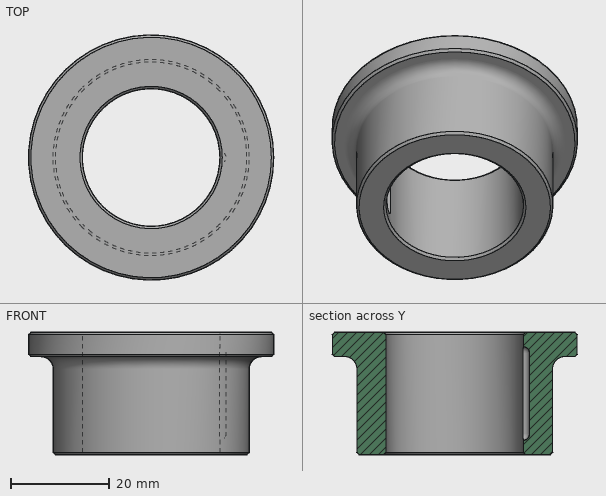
import cadquery as cq

flange_diameter = 50.0
body_diameter = 40.0
bore_diameter = 28.0
height = 25.0
flange_thickness = 5.0

edge_chamfer = 0.5
neck_fillet = 2.5

groove_radius = 1.25
groove_end_margin = 3.0

flange_radius = flange_diameter / 2
body_radius = body_diameter / 2
bore_radius = bore_diameter / 2
flange_underside = height - flange_thickness


def make_bushing():
    """Revolve the half section, with chamfered rims and a concave neck fillet."""
    section = (
        cq.Workplane("XZ")
        .moveTo(bore_radius, edge_chamfer)
        .lineTo(bore_radius + edge_chamfer, 0)
        .lineTo(body_radius - edge_chamfer, 0)
        .lineTo(body_radius, edge_chamfer)
        .lineTo(body_radius, flange_underside - neck_fillet)
        .radiusArc((body_radius + neck_fillet, flange_underside), neck_fillet)
        .lineTo(flange_radius - edge_chamfer, flange_underside)
        .lineTo(flange_radius, flange_underside + edge_chamfer)
        .lineTo(flange_radius, height - edge_chamfer)
        .lineTo(flange_radius - edge_chamfer, height)
        .lineTo(bore_radius + edge_chamfer, height)
        .lineTo(bore_radius, height - edge_chamfer)
        .close()
    )
    return section.revolve(360, (0, 0, 0), (0, 1, 0))


def make_groove_cutter():
    """Vertical round bar with ball ends, centred on the bore wall."""
    groove_length = height - 2 * groove_end_margin
    straight_length = groove_length - 2 * groove_radius
    bottom_ball_height = groove_end_margin + groove_radius
    cutter = (
        cq.Workplane("XY", origin=(bore_radius, 0, bottom_ball_height))
        .circle(groove_radius)
        .extrude(straight_length)
    )
    for ball_height in (bottom_ball_height, bottom_ball_height + straight_length):
        ball = cq.Workplane("XY", origin=(bore_radius, 0, ball_height)).sphere(groove_radius)
        cutter = cutter.union(ball)
    return cutter


result = make_bushing().cut(make_groove_cutter())